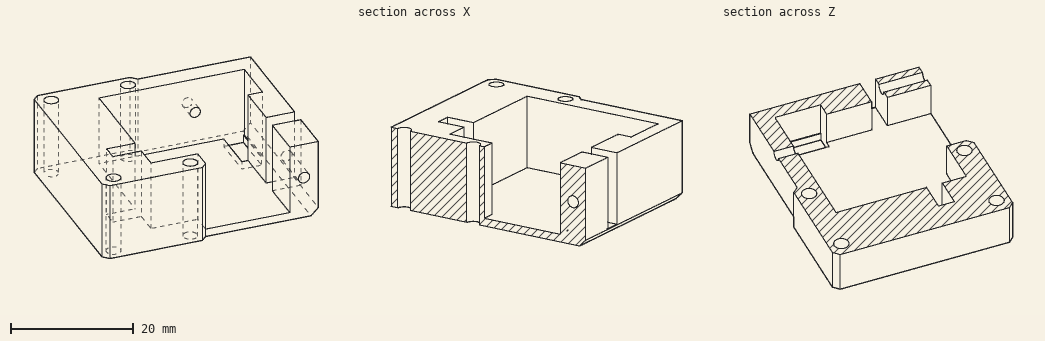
import cadquery as cq

FLANGE_WIDTH = 32.0
LENGTH = 38.0
HEIGHT = 13.7
CORNER_CHAMFER = 1.0
BODY_WIDTH = FLANGE_WIDTH - 2 * CORNER_CHAMFER
FLANGE_LENGTH = 18.2
BACK_CHAMFER = 1.3

FLOOR = 1.4
CAVITY_HALF_WIDTH = 11.5
CAVITY_FRONT = 10.0
BACK_WALL = 5.0
CAVITY_BACK = LENGTH - BACK_WALL

SLOT_LEFT = 4.52
SLOT_WIDTH = 2.75
SLOT_FRONT = CAVITY_FRONT - BACK_WALL

WINDOW_WIDTH = 8.0
WINDOW_FRONT = 31.92
WINDOW_BACK = 35.53
WINDOW_LEDGE = 0.15

MOUNT_DIAMETER = 2.45
MOUNT_X = 13.75
MOUNT_Y = (2.5, 16.0)

CROSS_DIAMETER = 1.82
CROSS_Y = 26.9
CROSS_Z = 7.45

PIN_Y = LENGTH - BACK_WALL / 2
PIN_DIAMETER = 1.98


def box(x_min, x_max, y_min, y_max, z_min, z_max):
    """Box given by its limits on each axis."""
    size = (x_max - x_min, y_max - y_min, z_max - z_min)
    return cq.Workplane("XY").box(*size, centered=False).translate((x_min, y_min, z_min))


def outer_block():
    half_body = BODY_WIDTH / 2
    half_flange = FLANGE_WIDTH / 2
    body = box(-half_body, half_body, 0, LENGTH, 0, HEIGHT)
    body = body.faces(">Y").edges("<Z").chamfer(BACK_CHAMFER)
    flange = box(-half_flange, half_flange, 0, FLANGE_LENGTH, 0, HEIGHT)
    return body.union(flange.edges("|Z").chamfer(CORNER_CHAMFER))


def cavity():
    """Main pocket, its open right side, and the slot across it."""
    pocket = box(-CAVITY_HALF_WIDTH, CAVITY_HALF_WIDTH, CAVITY_FRONT, CAVITY_BACK, FLOOR, HEIGHT)
    side_opening = box(0, BODY_WIDTH / 2, FLANGE_LENGTH, CAVITY_BACK, FLOOR, HEIGHT)
    slot = box(SLOT_LEFT, SLOT_LEFT + SLOT_WIDTH, SLOT_FRONT, LENGTH, FLOOR, HEIGHT)
    return pocket.union(side_opening).union(slot)


def window():
    left = -CAVITY_HALF_WIDTH
    right = left + WINDOW_WIDTH
    floor_opening = box(left, right, WINDOW_FRONT, WINDOW_BACK - WINDOW_LEDGE, 0, HEIGHT)
    wall_recess = box(left, right, WINDOW_FRONT, WINDOW_BACK, FLOOR, HEIGHT)
    return floor_opening.union(wall_recess)


def mounting_holes():
    points = [(x, y) for x in (-MOUNT_X, MOUNT_X) for y in MOUNT_Y]
    return cq.Workplane("XY").pushPoints(points).circle(MOUNT_DIAMETER / 2).extrude(HEIGHT)


def cross_hole():
    start = cq.Workplane("YZ", origin=(-FLANGE_WIDTH / 2, CROSS_Y, CROSS_Z))
    return start.circle(CROSS_DIAMETER / 2).extrude(FLANGE_WIDTH / 2)


def pin_hole():
    left = SLOT_LEFT + SLOT_WIDTH
    start = cq.Workplane("YZ", origin=(left, PIN_Y, CROSS_Z))
    return start.circle(PIN_DIAMETER / 2).extrude(BODY_WIDTH / 2 - left)


result = outer_block().cut(cavity()).cut(window())
result = result.cut(mounting_holes()).cut(cross_hole()).cut(pin_hole())